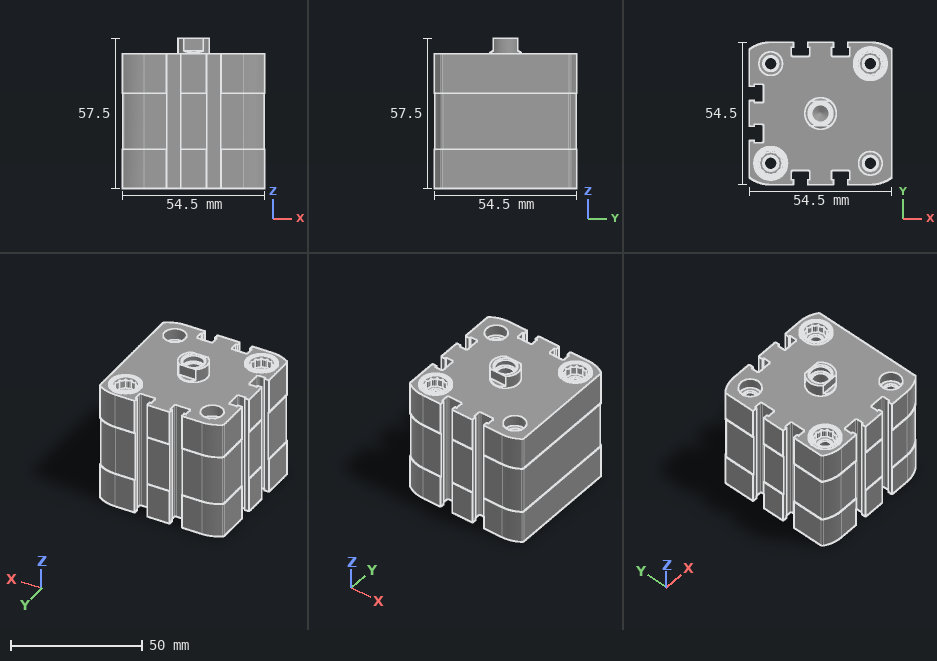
import cadquery as cq
import math

WIDTH = 54.5
HALF = WIDTH / 2
CAP_HEIGHT = 15.0
BODY_HEIGHT = 51.55
BARREL_HEIGHT = BODY_HEIGHT - 2 * CAP_HEIGHT
BARREL_INSET = 0.25
CORNER_RADIUS = 14.0
CORNER_BLEND = 1.0
HOLE_OFFSET = 19.0

SLOT_OFFSET = 7.65
SLOT_INNER_WIDTH = 6.9
SLOT_LIP_DEPTH = 2.0
SLOT_MOUTH = 5.35
SLOT_DEPTH = 5.45
MOUTH_CHAMFER = 0.2
SLOT_FLOOR_RADIUS = 0.5
SLOT_SIDES = (90, 180, 270)

SCREW_BORE = 4.95
SCREW_BORE_MOUTH = 6.0
COUNTERSINK_DEPTH = (SCREW_BORE_MOUTH - SCREW_BORE) / 2
COUNTERBORE = 9.0
COUNTERBORE_DEPTH = 5.0

RING_GROOVE_OUTER = 12.8
RING_GROOVE_INNER = 11.9
RING_GROOVE_DEPTH = 0.7
COLLAR_TOP = 10.9
FUNNEL_TOP = 10.0
SPLINE_MINOR = 8.5
SPLINE_MAJOR = 9.1
FUNNEL_DEPTH = 1.25
SOCKET_DEPTH = 4.75
SPLINE_COUNT = 12
SPLINE_TIP_ANGLE = 11

ROD_DIAMETER = 12.0
ROD_TOP = 57.45
ROD_BOTTOM = 34.45
FLAT_WIDTH = 9.4
FLAT_HEIGHT = 4.75
FLAT_RUNOUT_SLOPE = 30
ROD_MOUTH = 9.35
ROD_MOUTH_DEPTH = 0.5
ROD_COUNTERBORE = 8.4
ROD_COUNTERBORE_END = 3.05
ROD_BORE_MOUTH = 7.9
ROD_BORE_MOUTH_DEPTH = 0.45
ROD_BORE = 6.8
ROD_BORE_END = 14.35
DRILL_POINT_ANGLE = 118


def turned(points):
    """Solid of revolution about Z from (radius, height) points."""
    return cq.Workplane("XZ").polyline(points).close().revolve(360, (0, 0), (0, 1))


def housing_outline(inset, base, height):
    """Square block with the four large corner arcs, inset on every side."""
    half = HALF - inset
    radius = CORNER_RADIUS - inset
    arc_centre = half - radius
    end_y = arc_centre + math.sqrt(radius**2 - (half - HOLE_OFFSET) ** 2)
    end_angle = math.atan2(end_y - arc_centre, half - HOLE_OFFSET)
    middle_angle = (math.pi / 2 + end_angle) / 2
    middle_x = HOLE_OFFSET + radius * math.cos(middle_angle)
    middle_y = arc_centre + radius * math.sin(middle_angle)
    return (
        cq.Workplane("XY", origin=(0, 0, base))
        .moveTo(-HOLE_OFFSET, half)
        .lineTo(HOLE_OFFSET, half)
        .threePointArc((middle_x, middle_y), (half, end_y))
        .lineTo(half, -end_y)
        .threePointArc((middle_x, -middle_y), (HOLE_OFFSET, -half))
        .lineTo(-HOLE_OFFSET, -half)
        .threePointArc((-middle_x, -middle_y), (-half, -end_y))
        .lineTo(-half, end_y)
        .threePointArc((-middle_x, middle_y), (-HOLE_OFFSET, half))
        .close()
        .extrude(height)
        .edges("|Z and (>X or <X)")
        .fillet(CORNER_BLEND)
    )


def slot_cutter():
    """T-slot cutter opening towards +X, centred on the X axis."""
    floor_x = HALF - SLOT_DEPTH
    lip_x = HALF - SLOT_LIP_DEPTH
    inner_cut = (
        cq.Workplane("XY")
        .box(lip_x - floor_x, SLOT_INNER_WIDTH, BODY_HEIGHT, centered=(False, True, False))
        .edges("|Z and <X")
        .fillet(SLOT_FLOOR_RADIUS)
        .translate((floor_x, 0, 0))
    )
    mouth = SLOT_MOUTH / 2
    chamfered_mouth = mouth + MOUTH_CHAMFER
    mouth_cut = (
        cq.Workplane("XY")
        .polyline([
            (floor_x + SLOT_FLOOR_RADIUS, -mouth),
            (HALF - MOUTH_CHAMFER, -mouth),
            (HALF, -chamfered_mouth),
            (HALF, chamfered_mouth),
            (HALF - MOUTH_CHAMFER, mouth),
            (floor_x + SLOT_FLOOR_RADIUS, mouth),
        ])
        .close()
        .extrude(BODY_HEIGHT)
    )
    return inner_cut.union(mouth_cut)


def cut_slots(housing):
    """Cut the pair of full-height T-slots into each slotted side."""
    cutter = slot_cutter()
    for side in SLOT_SIDES:
        for offset in (-SLOT_OFFSET, SLOT_OFFSET):
            housing = housing.cut(cutter.translate((0, offset, 0)).rotate((0, 0, 0), (0, 0, 1), side))
    return housing


def screw_bore(seat_depth):
    """Through bore with a countersink that starts at the given depth."""
    seat = BODY_HEIGHT - seat_depth
    return turned([
        (0, 0),
        (SCREW_BORE / 2, 0),
        (SCREW_BORE / 2, seat - COUNTERSINK_DEPTH),
        (SCREW_BORE_MOUTH / 2, seat),
        (0, seat),
    ])


def counterbored_hole():
    """Cutter for a plain screw hole."""
    seat = BODY_HEIGHT - COUNTERBORE_DEPTH
    counterbore = cq.Workplane("XY", origin=(0, 0, seat)).circle(COUNTERBORE / 2).extrude(COUNTERBORE_DEPTH)
    return counterbore.union(screw_bore(COUNTERBORE_DEPTH))


def ring_groove():
    """Cutter for the groove around the collar, whose outer side is conical."""
    return turned([
        (COLLAR_TOP / 2, BODY_HEIGHT),
        (RING_GROOVE_OUTER / 2, BODY_HEIGHT),
        (RING_GROOVE_OUTER / 2, BODY_HEIGHT - RING_GROOVE_DEPTH),
        (RING_GROOVE_INNER / 2, BODY_HEIGHT - RING_GROOVE_DEPTH),
    ])


def funnel():
    """Cutter for the conical lead-in inside the collar."""
    return turned([
        (0, BODY_HEIGHT),
        (FUNNEL_TOP / 2, BODY_HEIGHT),
        (SPLINE_MINOR / 2, BODY_HEIGHT - FUNNEL_DEPTH),
        (0, BODY_HEIGHT - FUNNEL_DEPTH),
    ])


def polar(radius, degrees):
    """Point at a radius and an angle from the X axis."""
    angle = math.radians(degrees)
    return (radius * math.cos(angle), radius * math.sin(angle))


def spline_recess():
    """Cutter with V grooves between teeth whose tips lie on the minor diameter."""
    pitch = 360 / SPLINE_COUNT
    outline = cq.Workplane("XY", origin=(0, 0, BODY_HEIGHT - SOCKET_DEPTH)).moveTo(SPLINE_MAJOR / 2, 0)
    for tooth in range(SPLINE_COUNT):
        middle = (tooth + 0.5) * pitch
        outline = (
            outline.lineTo(*polar(SPLINE_MINOR / 2, middle - SPLINE_TIP_ANGLE / 2))
            .threePointArc(
                polar(SPLINE_MINOR / 2, middle),
                polar(SPLINE_MINOR / 2, middle + SPLINE_TIP_ANGLE / 2),
            )
            .lineTo(*polar(SPLINE_MAJOR / 2, (tooth + 1) * pitch))
        )
    return outline.close().extrude(SOCKET_DEPTH)


def splined_socket():
    """Cutter for the splined socket inside the collar and the bore below it."""
    return funnel().union(spline_recess()).union(screw_bore(SOCKET_DEPTH))


def rod_blank():
    """Piston rod without its bore, also the shape of its seat in the housing."""
    rod_length = ROD_TOP - ROD_BOTTOM
    return cq.Workplane("XY", origin=(0, 0, ROD_BOTTOM)).circle(ROD_DIAMETER / 2).extrude(rod_length)


def rod_flat_cutter():
    """Cutter for the wrench flat on the +Y side, with its sloping run-out."""
    flat_y = FLAT_WIDTH / 2
    run_out = ROD_DIAMETER / 2 - flat_y
    flat_end = ROD_TOP - FLAT_HEIGHT
    return (
        cq.Workplane("YZ")
        .moveTo(flat_y, ROD_TOP)
        .lineTo(flat_y, flat_end)
        .lineTo(flat_y + run_out, flat_end - run_out * math.tan(math.radians(FLAT_RUNOUT_SLOPE)))
        .lineTo(flat_y + run_out, ROD_TOP)
        .close()
        .extrude(ROD_DIAMETER, both=True)
    )


def rod_bore():
    """Cutter for the stepped bore in the rod top, with a drill point."""
    bore_end = ROD_TOP - ROD_BORE_END
    point = ROD_BORE / 2 / math.tan(math.radians(DRILL_POINT_ANGLE / 2))
    return turned([
        (0, ROD_TOP),
        (ROD_MOUTH / 2, ROD_TOP),
        (ROD_COUNTERBORE / 2, ROD_TOP - ROD_MOUTH_DEPTH),
        (ROD_COUNTERBORE / 2, ROD_TOP - ROD_COUNTERBORE_END),
        (ROD_BORE_MOUTH / 2, ROD_TOP - ROD_COUNTERBORE_END),
        (ROD_BORE / 2, ROD_TOP - ROD_COUNTERBORE_END - ROD_BORE_MOUTH_DEPTH),
        (ROD_BORE / 2, bore_end),
        (0, bore_end - point),
    ])


def make_housing():
    """Two end caps and the barrel as one solid, with slots, corner holes and the rod seat."""
    bottom_cap = housing_outline(0, 0, CAP_HEIGHT)
    barrel = housing_outline(BARREL_INSET, CAP_HEIGHT, BARREL_HEIGHT)
    top_cap = housing_outline(0, BODY_HEIGHT - CAP_HEIGHT, CAP_HEIGHT)
    housing = cut_slots(bottom_cap.union(barrel).union(top_cap))
    for side in (-1, 1):
        socket_centre = (side * HOLE_OFFSET, side * HOLE_OFFSET, 0)
        housing = housing.cut(ring_groove().translate(socket_centre))
        housing = housing.cut(splined_socket().translate(socket_centre))
        housing = housing.cut(counterbored_hole().translate((side * HOLE_OFFSET, -side * HOLE_OFFSET, 0)))
    return housing.cut(rod_blank())


def make_piston_rod():
    """Piston rod with two wrench flats and a stepped bore."""
    flat_cutter = rod_flat_cutter()
    return rod_blank().cut(flat_cutter).cut(flat_cutter.mirror("XZ")).cut(rod_bore())


housing = make_housing()
piston_rod = make_piston_rod()
result = cq.Compound.makeCompound([housing.val(), piston_rod.val()])